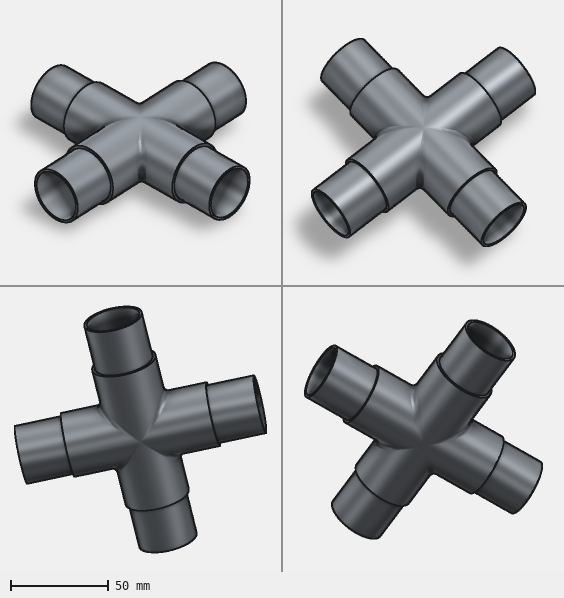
import cadquery as cq

overall_length = 126.0
sleeve_length = 76.6
spigot_diameter = 30.5
sleeve_diameter = 33.6
bore_diameter = 27.7
crotch_radius = 3.0


def cylinder_along(plane, diameter, length):
    """Cylinder centred on the origin, along the normal of the given plane."""
    return cq.Workplane(plane).circle(diameter / 2).extrude(length / 2, both=True)


def crossed_cylinders(diameter, length):
    """Two equal cylinders, one along X and one along Y, joined."""
    along_x = cylinder_along("YZ", diameter, length)
    along_y = cylinder_along("XZ", diameter, length)
    return along_x.union(along_y)


sleeves = crossed_cylinders(sleeve_diameter, sleeve_length)
crotch_zone = sleeve_diameter / 2 + crotch_radius
crotch_edges = cq.selectors.BoxSelector(
    (-crotch_zone, -crotch_zone, -sleeve_diameter),
    (crotch_zone, crotch_zone, sleeve_diameter),
)
sleeves = sleeves.edges(crotch_edges).edges("not %CIRCLE").edges("not %LINE").fillet(crotch_radius)

spigots = crossed_cylinders(spigot_diameter, overall_length)
bores = crossed_cylinders(bore_diameter, overall_length)
result = sleeves.union(spigots).cut(bores)